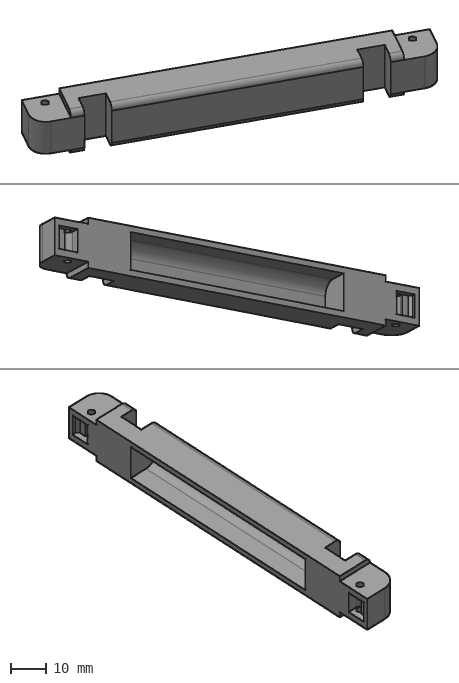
import cadquery as cq

length = 120.0
depth = 12.0
height = 15.0

body_length = 97.9
back_edge_radius = 1.9

ear_height = 11.3
ear_corner_radius = 5.0

cavity_length = 70.1
cavity_height = ear_height
cavity_depth = 10.0
cavity_floor_radius = 4.0

notch_floor_x = depth / 2
notch_inner_y = 37.0
notch_outer_y = 45.0

pin_diameter = 2.2
pin_x = 3.0
pin_y = 54.0
pocket_height = 7.0
pocket_radius = 1.5
lip_depth = 2.0
lip_chamfer = 1.0
pocket_inner_y = pin_y - pocket_radius
pocket_outer_y = length / 2 - pocket_radius


def box(x_min, x_max, y_min, y_max, z_size):
    """Box between the given X and Y limits, centred on Z = 0."""
    return (
        cq.Workplane("XY")
        .box(x_max - x_min, y_max - y_min, z_size, centered=(False, False, True))
        .translate((x_min, y_min, 0))
    )


def make_frame():
    """Body and ears, with their back edges rounded."""
    ears = box(0, depth, -length / 2, length / 2, ear_height)
    ears = ears.edges("|Z and >X").fillet(ear_corner_radius)
    body = box(0, depth, -body_length / 2, body_length / 2, height)
    body = body.edges("|Y and >X").fillet(back_edge_radius)
    return body.union(ears)


def make_cavity():
    """Long trough with a rounded floor."""
    cavity = box(0, cavity_depth, -cavity_length / 2, cavity_length / 2, cavity_height)
    return cavity.edges("|Y and >X").fillet(cavity_floor_radius)


def make_notch():
    """Square notch through the full height at the +Y end of the back."""
    return box(notch_floor_x, depth, notch_inner_y, notch_outer_y, height)


def make_pin_pocket():
    """Pin hole and hooked pocket of the +Y ear."""
    hole = cq.Workplane("XY").center(pin_x, pin_y).circle(pin_diameter / 2).extrude(height / 2, both=True)
    pocket = (
        cq.Workplane("XY")
        .moveTo(0, pocket_inner_y)
        .lineTo(pin_x, pocket_inner_y)
        .threePointArc((pin_x + pocket_radius, pin_y), (pin_x, pin_y + pocket_radius))
        .lineTo(lip_depth, pin_y + pocket_radius)
        .lineTo(lip_depth, pocket_outer_y - lip_chamfer)
        .lineTo(lip_depth - lip_chamfer, pocket_outer_y)
        .lineTo(0, pocket_outer_y)
        .close()
        .extrude(pocket_height / 2, both=True)
    )
    return hole.union(pocket)


result = make_frame().cut(make_cavity())
for end_cut in (make_notch(), make_pin_pocket()):
    result = result.cut(end_cut).cut(end_cut.mirror("XZ"))